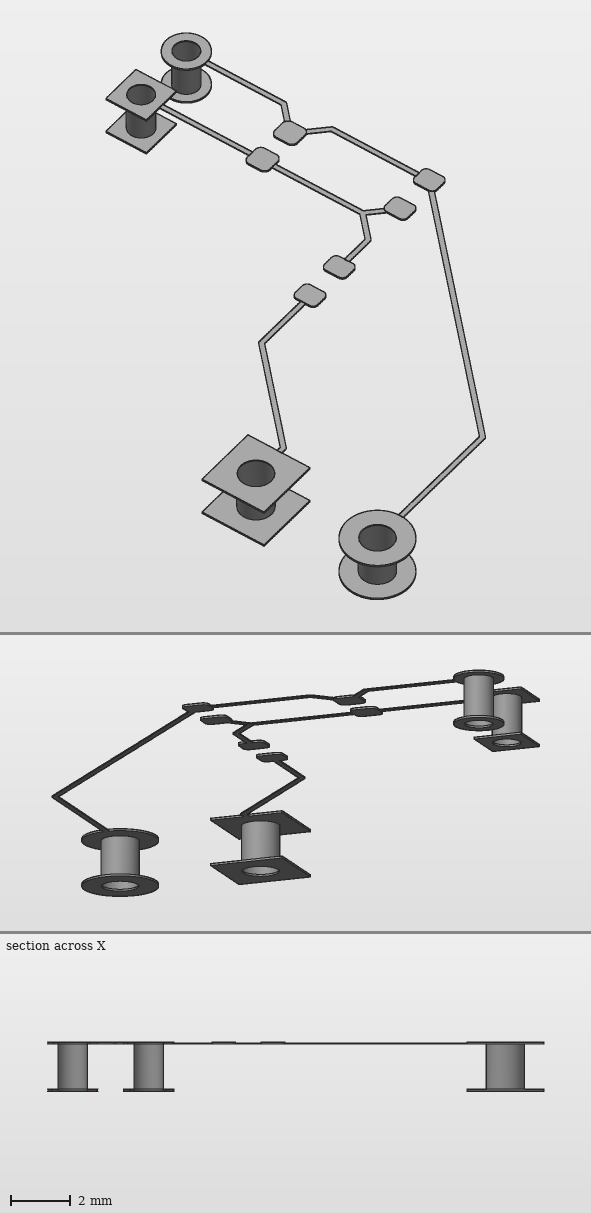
import cadquery as cq

total_length = 20.9
total_width = 16.67
total_height = 1.65

land_thickness = 0.07
trace_thickness = 0.035
trace_width = 0.2
barrel_wall = 0.02
top_level = total_height - land_thickness

small_land = 1.7
small_barrel = 1.0
small_pitch = 2.55
large_land = 2.6
large_barrel = 1.3
large_pitch = 5.08

land_margin = (small_land + large_land) / 2
small_round = (0, 0)
small_square = (0, -small_pitch)
large_round = (total_length - land_margin, land_margin - total_width)
large_square = (large_round[0] - large_pitch, large_round[1])

pad_length = 0.95
wide_pad = 0.9
narrow_pad = 0.8
corner_ratio = 0.25
column_pitch = 5.08
wide_spacing = 1.55
narrow_spacing = 1.65
lower_pair_drop = 5.08

first_column = column_pitch
second_column = 2 * column_pitch
signal_wide = (first_column, small_square[1] + wide_spacing)
supply_wide = (first_column, small_square[1])
signal_narrow = (second_column, 0)
supply_upper = (second_column, -narrow_spacing)
supply_lower = (second_column, -lower_pair_drop)
output_narrow = (second_column, supply_lower[1] - narrow_spacing)

output_bend_y = -9.46


def plated_hole(center, barrel, land, square):
    """A barrel with a round or square land at each end, not yet bored."""
    solid = cq.Workplane().center(*center).circle(barrel / 2).extrude(total_height)
    for level in (0, top_level):
        plane = cq.Workplane().workplane(offset=level).center(*center)
        outline = plane.rect(land, land) if square else plane.circle(land / 2)
        solid = solid.union(outline.extrude(land_thickness))
    return solid


def bore(center, barrel):
    """The cylinder that opens a plated hole from top to bottom."""
    return cq.Workplane().center(*center).circle(barrel / 2 - barrel_wall).extrude(total_height)


def surface_pad(center, width):
    """A rectangular pad with rounded corners, on the top level."""
    block = cq.Workplane().workplane(offset=top_level).center(*center).rect(pad_length, width)
    return block.extrude(land_thickness).edges("|Z").fillet(corner_ratio * width)


def trace(points):
    """A flat track along the points, rounded at its ends and bends."""
    track = cq.Workplane()
    for start, end in zip(points, points[1:]):
        span = cq.Vector(*end) - cq.Vector(*start)
        middle = (cq.Vector(*start) + cq.Vector(*end)) / 2
        plane = cq.Plane(origin=(middle.x, middle.y, top_level), xDir=span, normal=(0, 0, 1))
        segment = cq.Workplane(plane).slot2D(span.Length + trace_width, trace_width)
        track = track.union(segment.extrude(trace_thickness))
    return track


def copper_net(holes, pads, traces):
    """One connected copper body: plated holes, pads and traces fused, then bored."""
    copper = cq.Workplane()
    for center, barrel, land, square in holes:
        copper = copper.union(plated_hole(center, barrel, land, square))
    for center, width in pads:
        copper = copper.union(surface_pad(center, width))
    for points in traces:
        copper = copper.union(trace(points))
    for center, barrel, _, _ in holes:
        copper = copper.cut(bore(center, barrel))
    return copper.solids()


dip_run = -signal_wide[1]
descent_run = large_round[0] - second_column
signal_net = copper_net(
    holes=[
        (small_round, small_barrel, small_land, False),
        (large_round, large_barrel, large_land, False),
    ],
    pads=[(signal_wide, wide_pad), (signal_narrow, narrow_pad)],
    traces=[
        [
            small_round,
            (first_column - dip_run, 0),
            signal_wide,
            (first_column + dip_run, 0),
            signal_narrow,
            (large_round[0], -descent_run),
            large_round,
        ],
    ],
)

fork_run = supply_upper[1] - supply_wide[1]
fork = (second_column - fork_run, supply_wide[1])
supply_net = copper_net(
    holes=[(small_square, small_barrel, small_land, True)],
    pads=[(supply_wide, wide_pad), (supply_upper, narrow_pad), (supply_lower, narrow_pad)],
    traces=[
        [small_square, supply_wide, fork, supply_upper],
        [fork, (second_column, fork[1] - fork_run), supply_lower],
    ],
)

output_run = large_square[0] - second_column
output_net = copper_net(
    holes=[(large_square, large_barrel, large_land, True)],
    pads=[(output_narrow, narrow_pad)],
    traces=[
        [
            output_narrow,
            (second_column, output_bend_y),
            (large_square[0], output_bend_y - output_run),
            large_square,
        ],
    ],
)

result = cq.Compound.makeCompound([signal_net.val(), supply_net.val(), output_net.val()])